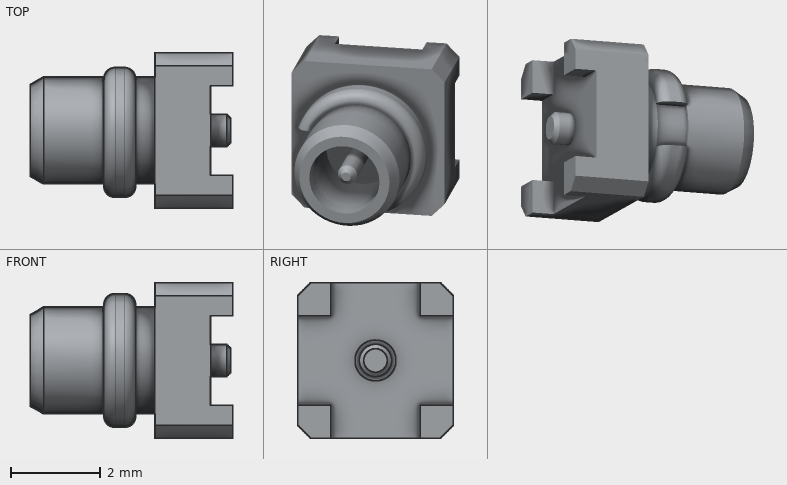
import cadquery as cq

length = 4.55

base_width = 3.5
base_depth = 1.75
base_chamfer = 0.295
foot_height = 0.5
foot_gap = 2.0
barrel_radius = 1.2
lead_in_length = 0.3
lead_in_rise = 0.175
bore_radius = 0.8
bore_depth = 2.0

ring_start = 1.65
ring_width = 0.72
ring_outer_radius = 1.5
ring_fillet = 0.26
ring_gap = 1.0
groove_depth = 0.1
groove_clearance = 0.015

insulator_radius = 0.46
pin_radius = 0.22
pin_tip_radius = 0.105
pin_tip_length = 0.15
pin_start = 0.205
tail_radius = 0.365
tail_end_clearance = 0.04
tail_chamfer = 0.1

base_start = length - base_depth
seat_plane = length - foot_height
pin_end = length - tail_end_clearance
groove_radius = barrel_radius - groove_depth
groove_start = ring_start - groove_clearance


def cylinder(start, end, radius):
    """Solid cylinder along the X axis between two X positions."""
    return cq.Workplane("YZ").workplane(offset=start).circle(radius).extrude(end - start)


def make_base():
    """Square block with chamfered long edges, cut by a cross of slots to leave four feet."""
    block = cq.Workplane("YZ").workplane(offset=base_start).rect(base_width, base_width).extrude(base_depth)
    block = block.edges("|X").chamfer(base_chamfer)
    foot_slots = (
        cq.Workplane("YZ").workplane(offset=seat_plane).rect(base_width, foot_gap).extrude(foot_height)
        .union(cq.Workplane("YZ").workplane(offset=seat_plane).rect(foot_gap, base_width).extrude(foot_height))
    )
    return block.cut(foot_slots)


def make_barrel():
    """Barrel with a conical lead-in and a groove for the retaining ring."""
    profile = [
        (0, 0),
        (0, barrel_radius - lead_in_rise),
        (lead_in_length, barrel_radius),
        (groove_start, barrel_radius),
        (groove_start, groove_radius),
        (ring_start + ring_width, groove_radius),
        (ring_start + ring_width, barrel_radius),
        (base_start, barrel_radius),
        (base_start, 0),
    ]
    return cq.Workplane("XY").polyline(profile).close().revolve(360, (0, 0, 0), (1, 0, 0))


def make_housing():
    """Base and barrel with the mating bore and the through hole for the insulator."""
    body = make_base().union(make_barrel())
    return body.cut(cylinder(0, bore_depth, bore_radius)).cut(cylinder(bore_depth, seat_plane, insulator_radius))


def make_ring():
    """Retaining ring with rounded outer edges, split on the +Y side."""
    ring_end = ring_start + ring_width
    ring = cylinder(ring_start, ring_end, ring_outer_radius).edges().fillet(ring_fillet)
    ring = ring.cut(cylinder(ring_start, ring_end, groove_radius))
    split = cq.Workplane("XY").box(ring_width, ring_outer_radius, ring_gap, centered=(False, False, True))
    return ring.cut(split.translate((ring_start, 0, 0)))


def make_insulator():
    """Sleeve between the bore floor and the seat plane, holding the pin."""
    sleeve = cylinder(bore_depth, seat_plane, insulator_radius)
    return sleeve.cut(cylinder(bore_depth, seat_plane, pin_radius))


def make_pin():
    """Contact pin with a tapered tip and a wider, chamfered tail."""
    profile = [
        (pin_start, 0),
        (pin_start, pin_tip_radius),
        (pin_start + pin_tip_length, pin_radius),
        (seat_plane, pin_radius),
        (seat_plane, tail_radius),
        (pin_end - tail_chamfer, tail_radius),
        (pin_end, tail_radius - tail_chamfer),
        (pin_end, 0),
    ]
    return cq.Workplane("XY").polyline(profile).close().revolve(360, (0, 0, 0), (1, 0, 0))


housing = make_housing()
ring = make_ring()
insulator = make_insulator()
pin = make_pin()

result = cq.Compound.makeCompound([housing.val(), ring.val(), insulator.val(), pin.val()])